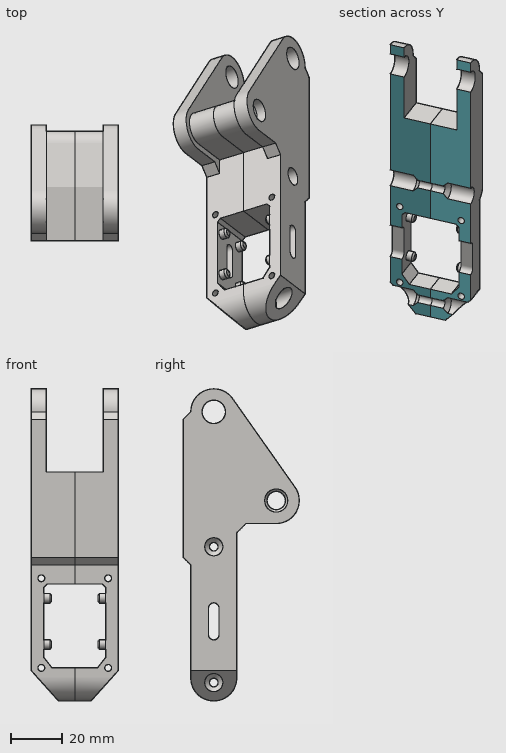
import cadquery as cq
import math

total_height = 121.6
half_width = 17.0
cheek_thickness = 6.0
gap_half_width = half_width - cheek_thickness

shank_half_depth = 9.0
pad_front = -11.9
pad_bottom = 55.9
pad_step = -shank_half_depth - pad_front
core_top = 89.2

eye_radius = shank_half_depth
pivot_z = total_height - eye_radius
pivot_hole_diameter = 9.0
arm_y = 24.3
arm_z = 78.0
arm_bottom = arm_z - eye_radius
arm_corner_chamfer = 3.5
arm_hole_diameter = 7.0
arm_counterbore_diameter = 9.0
arm_counterbore_depth = 3.9
web_radius = 6.6

foot_half_width = 6.3
foot_taper_height = 11.9

window_half_width = 12.0
window_bottom = 13.0
window_top = 45.5
window_top_chamfer = 1.3
window_bottom_chamfer_width = 3.2
window_bottom_chamfer_height = 4.0

slot_z = 31.0
slot_length = 14.3
slot_width = 4.0
peg_diameter = 3.9
peg_length = 3.0
peg_tip_chamfer = 0.7
peg_spacing_y = 11.9
peg_spacing_z = 18.0

face_hole_diameter = 2.5
face_hole_x = 13.0
face_hole_heights = (12.9, 47.8)
clamp_hole_diameter = 3.3
clamp_head_diameter = 7.0
clamp_head_seat_x = 7.3
clamp_hole_heights = (7.2, 60.1)
seat_half_angle = 45.0


def on_side_plane(x):
    """Workplane at the given X whose local axes are Y and Z."""
    return cq.Workplane("YZ", origin=(x, 0, 0))


def along_x(diameter, y, z, start, end):
    """Round bar parallel to X."""
    return on_side_plane(start).center(y, z).circle(diameter / 2).extrude(end - start)


def around(center, radius, angle):
    """Point in the YZ plane at an angle (radians from +Y towards +Z) around a center."""
    return (center[0] + radius * math.cos(angle), center[1] + radius * math.sin(angle))


def make_cheek():
    """Outer side plate: shank, arm eye and pivot eye in one outline."""
    arm = (arm_y, arm_z)
    pivot = (0, pivot_z)
    edge_normal = math.atan2(arm_y, pivot_z - arm_z)
    return (
        on_side_plane(gap_half_width)
        .moveTo(-shank_half_depth, shank_half_depth)
        .threePointArc((0, 0), (shank_half_depth, shank_half_depth))
        .lineTo(shank_half_depth, arm_bottom - arm_corner_chamfer)
        .lineTo(shank_half_depth + arm_corner_chamfer, arm_bottom)
        .lineTo(arm_y, arm_bottom)
        .threePointArc(around(arm, eye_radius, 0), around(arm, eye_radius, edge_normal))
        .lineTo(*around(pivot, eye_radius, edge_normal))
        .threePointArc((0, pivot_z + eye_radius), (-eye_radius, pivot_z))
        .lineTo(pad_front, pivot_z - pad_step)
        .lineTo(pad_front, pad_bottom)
        .lineTo(-shank_half_depth, pad_bottom - pad_step)
        .close()
        .extrude(cheek_thickness)
    )


def make_core():
    """Material between the cheek and the joint: shank, and a web out to the arm hole."""
    arm = (arm_y, arm_z)
    offset_y = arm_y - shank_half_depth
    offset_z = core_top - arm_z
    corner_angle = math.atan2(offset_z, -offset_y)
    tangent_angle = corner_angle - math.acos(web_radius / math.hypot(offset_y, offset_z))
    return (
        on_side_plane(0)
        .moveTo(-shank_half_depth, shank_half_depth)
        .threePointArc((0, 0), (shank_half_depth, shank_half_depth))
        .lineTo(shank_half_depth, arm_z - web_radius)
        .lineTo(arm_y, arm_z - web_radius)
        .threePointArc(around(arm, web_radius, 0), around(arm, web_radius, tangent_angle))
        .lineTo(shank_half_depth, core_top)
        .lineTo(pad_front, core_top)
        .lineTo(pad_front, pad_bottom)
        .lineTo(-shank_half_depth, pad_bottom - pad_step)
        .close()
        .extrude(gap_half_width)
    )


def front_prism(points):
    """Prism through the whole shank depth from an outline in X and Z."""
    return cq.Workplane("XZ").polyline(points).close().extrude(shank_half_depth, both=True)


def make_foot_taper():
    """Wedge outside the sloping side of the foot."""
    return front_prism([(foot_half_width, 0), (half_width, foot_taper_height), (half_width, 0)])


def make_window():
    """Half of the window opening, with chamfered corners."""
    return front_prism([
        (0, window_bottom),
        (window_half_width - window_bottom_chamfer_width, window_bottom),
        (window_half_width, window_bottom + window_bottom_chamfer_height),
        (window_half_width, window_top - window_top_chamfer),
        (window_half_width - window_top_chamfer, window_top),
        (0, window_top),
    ])


def make_slot():
    """Upright slot through the side wall of the window."""
    return (
        on_side_plane(window_half_width)
        .center(0, slot_z)
        .slot2D(slot_length, slot_width, 90)
        .extrude(half_width - window_half_width)
    )


def make_pegs():
    """Four pegs with chamfered tips, pointing inwards from the side wall."""
    return (
        on_side_plane(window_half_width)
        .center(0, slot_z)
        .rarray(peg_spacing_y, peg_spacing_z, 2, 2)
        .circle(peg_diameter / 2)
        .extrude(-peg_length)
        .faces("<X")
        .chamfer(peg_tip_chamfer)
    )


def make_face_holes():
    """Screw holes through the shank, front to back, above and below the window."""
    return (
        cq.Workplane("XZ")
        .pushPoints([(face_hole_x, z) for z in face_hole_heights])
        .circle(face_hole_diameter / 2)
        .extrude(shank_half_depth, both=True)
    )


def make_seated_hole(y, z, hole_diameter, head_diameter, seat_x):
    """Hole along X, widened outside seat_x, with a conical seat between the two diameters."""
    seat_depth = (head_diameter - hole_diameter) / 2 / math.tan(math.radians(seat_half_angle))
    seat = cq.Workplane(cq.Solid.makeCone(
        hole_diameter / 2, head_diameter / 2, seat_depth,
        cq.Vector(seat_x - seat_depth, y, z), cq.Vector(1, 0, 0),
    ))
    hole = along_x(hole_diameter, y, z, 0, half_width)
    head = along_x(head_diameter, y, z, seat_x, half_width)
    return hole.union(seat).union(head)


def make_half():
    """Half of the housing on the +X side of the joint."""
    half = make_cheek().union(make_core())
    half = half.cut(make_foot_taper()).cut(make_window()).cut(make_slot()).union(make_pegs())
    half = half.cut(make_face_holes())
    half = half.cut(along_x(pivot_hole_diameter, 0, pivot_z, gap_half_width, half_width))
    half = half.cut(make_seated_hole(
        arm_y, arm_z, arm_hole_diameter, arm_counterbore_diameter, half_width - arm_counterbore_depth,
    ))
    for z in clamp_hole_heights:
        half = half.cut(make_seated_hole(
            0, z, clamp_hole_diameter, clamp_head_diameter, clamp_head_seat_x,
        ))
    return half


right_half = make_half()
left_half = right_half.mirror("YZ")

result = cq.Compound.makeCompound([left_half.val(), right_half.val()])